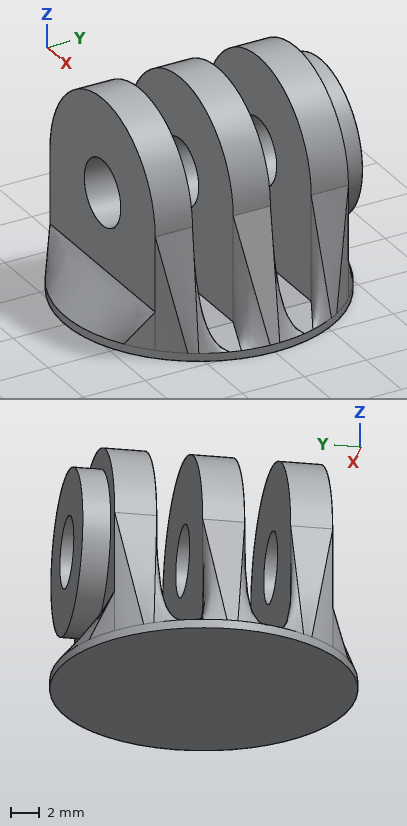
import cadquery as cq
import math

base_radius = 10.82
base_thickness = 0.65
total_height = 17.2
tab_width = 15.02
tab_thickness = 3.0
tab_count = 3
slot_floor_height = 1.23
end_skirt_height = 3.7
hole_diameter = 5.2
boss_diameter = 12.0
boss_length = 2.0

half_width = tab_width / 2
axis_height = total_height - half_width
half_depth = math.sqrt(base_radius**2 - half_width**2)
tab_pitch = (2 * half_depth - tab_thickness) / (tab_count - 1)


def axis_workplane(plane_y):
    """Workplane at the given Y, at the pin axis height, extruding toward +Y."""
    origin = (0, plane_y, axis_height)
    return cq.Workplane(cq.Plane(origin=origin, xDir=(-1, 0, 0), normal=(0, 1, 0)))


def make_tab(start_y):
    """Upright tab with a full-round top."""
    foot = base_thickness - axis_height
    return (
        axis_workplane(start_y)
        .moveTo(-half_width, foot)
        .lineTo(-half_width, 0)
        .threePointArc((0, half_width), (half_width, 0))
        .lineTo(half_width, foot)
        .close()
        .extrude(tab_thickness)
    )


def make_skirt(profile, wall_distance):
    """Skirt ruled from a wall at x = wall_distance out to the base rim.

    The profile holds (y, z) points that start and end on the rim. The rim arc
    is shared among the profile segments in proportion to their lengths.
    """
    wall_points = [cq.Vector(wall_distance, y, z) for y, z in profile]
    segments = list(zip(wall_points, wall_points[1:]))
    perimeter = sum((end - start).Length for start, end in segments)
    start_angle = math.acos(wall_distance / base_radius)

    def rim_point(travel):
        angle = start_angle * (1 - 2 * travel / perimeter)
        return cq.Vector(base_radius * math.cos(angle), base_radius * math.sin(angle), base_thickness)

    chord = cq.Edge.makeLine(wall_points[-1], wall_points[0])
    wall_edges = []
    rim_edges = []
    travel = 0
    for start, end in segments:
        length = (end - start).Length
        wall_edges.append(cq.Edge.makeLine(start, end))
        arc_points = [rim_point(travel + length * share) for share in (0, 0.5, 1)]
        rim_edges.append(cq.Edge.makeThreePointArc(*arc_points))
        travel += length

    faces = [cq.Face.makeRuledSurface(wall, rim) for wall, rim in zip(wall_edges, rim_edges)]
    faces.append(cq.Face.makeFromWires(cq.Wire.assembleEdges(wall_edges + [chord])))
    faces.append(cq.Face.makeFromWires(cq.Wire.assembleEdges(rim_edges + [chord])))
    skirt = cq.Solid.makeSolid(cq.Shell.makeShell(faces))
    return cq.Workplane(skirt.fix())


def side_profile():
    """Outline of the tab edges and slot floors, from +Y to -Y."""
    points = [(half_depth, base_thickness)]
    for index in range(tab_count):
        upper_y = half_depth - index * tab_pitch
        lower_y = upper_y - tab_thickness
        if index > 0:
            points.append((upper_y, slot_floor_height))
        points += [(upper_y, axis_height), (lower_y, axis_height)]
        if index < tab_count - 1:
            points.append((lower_y, slot_floor_height))
    points.append((-half_depth, base_thickness))
    return points


base = cq.Workplane("XY").circle(base_radius).extrude(base_thickness)
slot_floor = (
    cq.Workplane("XY")
    .rect(tab_width, 2 * half_depth)
    .extrude(slot_floor_height)
)
body = base.union(slot_floor)

for index in range(tab_count):
    body = body.union(make_tab(-half_depth + index * tab_pitch))

side_skirt = make_skirt(side_profile(), half_width)
end_profile = [
    (half_width, base_thickness),
    (half_width, end_skirt_height),
    (-half_width, end_skirt_height),
    (-half_width, base_thickness),
]
end_skirt = make_skirt(end_profile, half_depth)
for turn in (0, 180):
    body = body.union(side_skirt.rotate((0, 0, 0), (0, 0, 1), turn))
    body = body.union(end_skirt.rotate((0, 0, 0), (0, 0, 1), turn + 90))

boss = axis_workplane(half_depth).circle(boss_diameter / 2).extrude(boss_length)
body = body.union(boss)

pin_hole = (
    axis_workplane(-half_depth)
    .circle(hole_diameter / 2)
    .extrude(2 * half_depth + boss_length)
)
result = body.cut(pin_hole).solids()